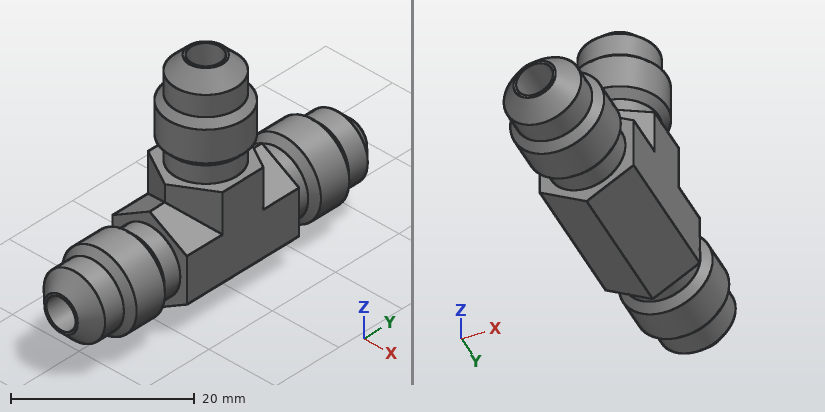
import cadquery as cq
import math

end_reach = 22.85
hex_flats = 11.2
hex_reach = 8.85
bore_diameter = 4.4

neck_radius = 4.6
collar_radius = hex_flats / 2
tip_radius = 2.5
collar_start = 11.35
collar_end = 17.8
collar_chamfer = collar_radius - neck_radius
cone_length = neck_radius - tip_radius

hex_corner_diameter = hex_flats / math.cos(math.pi / 6)


def branch_plane(direction):
    """Plane at the tee centre, normal to the direction, whose local x axis is the shared X axis."""
    return cq.Plane(origin=(0, 0, 0), xDir=(1, 0, 0), normal=direction)


def hex_body(direction):
    """Hexagonal prism with a pair of flats facing +X and -X."""
    return (
        cq.Workplane(branch_plane(direction))
        .transformed(rotate=(0, 0, 90))
        .polygon(6, hex_corner_diameter)
        .extrude(hex_reach)
    )


def fitting_end(direction):
    """Turned neck, chamfered collar and coned nose along one branch."""
    profile = [
        (0, 0),
        (neck_radius, 0),
        (neck_radius, collar_start),
        (collar_radius, collar_start + collar_chamfer),
        (collar_radius, collar_end - collar_chamfer),
        (neck_radius, collar_end),
        (neck_radius, end_reach - cone_length),
        (tip_radius, end_reach),
        (0, end_reach),
    ]
    side_normal = cq.Vector(1, 0, 0).cross(cq.Vector(*direction))
    plane = branch_plane(side_normal)
    return cq.Workplane(plane).polyline(profile).close().revolve(360, (0, 0), (0, 1))


def bore(direction):
    """Passage from the tee centre out through the nose."""
    return cq.Workplane(branch_plane(direction)).circle(bore_diameter / 2).extrude(end_reach)


branches = [(0, -1, 0), (0, 1, 0), (0, 0, 1)]

result = cq.Workplane("XY")
for direction in branches:
    result = result.union(hex_body(direction)).union(fitting_end(direction))
for direction in branches:
    result = result.cut(bore(direction))